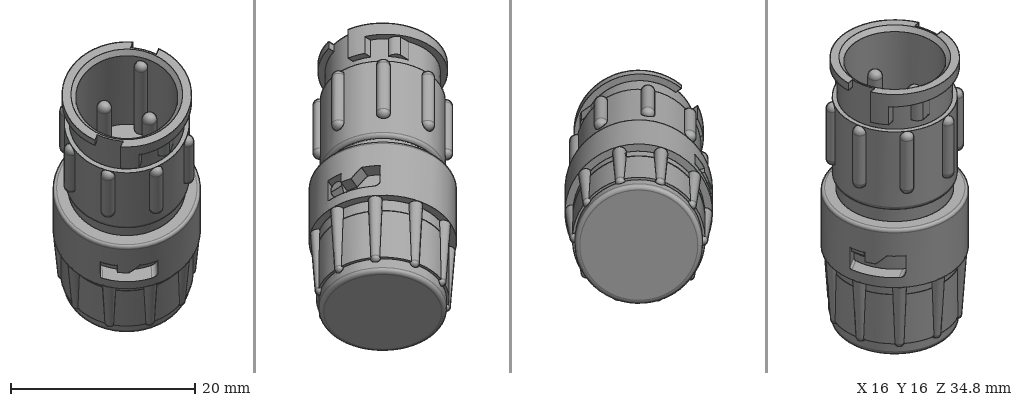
import cadquery as cq
import math


ring_radius = 8.0
nut_lip_radius = 6.92
nut_skirt_radius = 7.2
nut_collar_radius = 7.15
neck_radius = 6.4
sleeve_radius = 6.78
tube_radius = 6.25
rim_radius = 7.03

total_height = 34.78
nut_lip_top = 1.77
nut_skirt_top = 8.3
ring_bottom = 9.8
ring_top = 17.45
sleeve_bottom = 19.1
sleeve_top = 29.63
nut_edge_fillet = 0.52
ring_edge_fillet = 0.38
sleeve_edge_fillet = 0.52

nut_turn = 20.0

overlap = 0.35

nut_rib_count = 10
nut_rib_bottom = 1.88
nut_rib_top_radius = 0.75
nut_rib_bottom_radius = 0.55
nut_rib_top_offset = 7.25
nut_rib_bottom_offset = 6.92

sleeve_rib_count = 8
rib_radius = 0.75
rib_bottom = 22.33
rib_top = 28.87
rib_offset = 6.8

window_left = -3.2
window_right = 3.05
window_bottom = 11.13
window_step = 12.75
window_top = 13.98
window_leg_width = 1.8
window_ramp_start = -0.15
window_left_fillet = 0.25
window_right_fillet = 0.7
peg_radius = 0.87
peg_level = 13.08
peg_end = 7.25
peg_chamfer_top = 12.97

rim_gap_half_width = 1.45
ramp_high = 33.8
ramp_low = 33.1
key_bottom = 30.75
key_end = 3.35
stop_x = 5.9
stop_flat_y = 3.3
stop_nose = (-4.75, 4.0)
stop_round_mid = (-5.45, 3.85)

bore_radius = 5.53
bore_mouth_radius = 6.05
bore_chamfer_height = 0.52
bore_floor = 21.55
pin_spacing = 5.15
pin_radius = 0.8
pin_top = 32.03
post_radius = 0.73
post_offset = 5.15
post_top = 33.77
mark_radius = 0.2
mark_y = 1.77
mark_depth = 0.17


def disc(radius, bottom, top):
    return cq.Workplane("XY").workplane(offset=bottom).circle(radius).extrude(top - bottom)


def ball(radius, x, y, z):
    return cq.Workplane("XY").sphere(radius).translate((x, y, z))


def around(shape, angles):
    """Union of copies of a shape turned about Z."""
    copies = cq.Workplane("XY")
    for angle in angles:
        copies = copies.add(shape.rotate((0, 0, 0), (0, 0, 1), angle))
    return copies.combine()


def domed_post(radius, x, y, bottom, top):
    """Round post whose top ends in a hemisphere."""
    straight_top = top - radius
    return disc(radius, bottom, straight_top).translate((x, y, 0)).union(ball(radius, x, y, straight_top))


def body():
    nut_lip = disc(nut_lip_radius, 0, nut_lip_top).faces("<Z").edges().fillet(nut_edge_fillet)
    nut_skirt = disc(nut_skirt_radius, nut_lip_top, nut_skirt_top)
    nut_collar = disc(nut_collar_radius, nut_skirt_top, ring_bottom)
    ring = disc(ring_radius, ring_bottom, ring_top).faces(">Z").edges().fillet(ring_edge_fillet)
    neck = disc(neck_radius, ring_top, sleeve_bottom)
    sleeve = disc(sleeve_radius, sleeve_bottom, sleeve_top).faces("<Z").edges().fillet(sleeve_edge_fillet)
    core = disc(tube_radius, ring_top, total_height)
    return nut_lip.union(nut_skirt).union(nut_collar).union(ring).union(neck).union(sleeve).union(core)


def nut_ribs():
    """Tapered ribs that lean outward toward the ring and end in a rounded tip at the bottom."""
    height = ring_bottom - nut_rib_bottom
    lean = math.degrees(math.atan2(nut_rib_top_offset - nut_rib_bottom_offset, height))
    tip = nut_rib_bottom_radius
    rib = (
        cq.Workplane("XZ")
        .moveTo(0, -tip)
        .threePointArc((tip * math.sin(math.pi / 4), -tip * math.cos(math.pi / 4)), (tip, 0))
        .lineTo(nut_rib_top_radius, height)
        .lineTo(0, height)
        .close()
        .revolve(360, (0, 0, 0), (0, 1, 0))
        .rotate((0, 0, 0), (1, 0, 0), lean)
        .translate((0, -nut_rib_bottom_offset, nut_rib_bottom))
    )
    pitch = 360 / nut_rib_count
    return around(rib, [nut_turn + (i + 0.5) * pitch for i in range(nut_rib_count)])


def sleeve_ribs():
    rib = domed_post(rib_radius, 0, -rib_offset, rib_bottom, rib_top + rib_radius)
    rib = rib.union(ball(rib_radius, 0, -rib_offset, rib_bottom))
    pitch = 360 / sleeve_rib_count
    return around(rib, [i * pitch for i in range(sleeve_rib_count)])


def bayonet_windows():
    """J-shaped windows cut straight inward as far as the neck."""
    leg_right = window_left + window_leg_width
    ramp_end = window_ramp_start + window_top - window_step
    window = (
        cq.Workplane("XZ")
        .moveTo(window_left, window_bottom)
        .lineTo(window_right, window_bottom)
        .lineTo(window_right, window_top)
        .lineTo(ramp_end, window_top)
        .lineTo(window_ramp_start, window_step)
        .lineTo(leg_right, window_step)
        .lineTo(leg_right, window_top)
        .lineTo(window_left, window_top)
        .close()
        .extrude(ring_radius + overlap)
    )
    window = window.faces("<X").edges("<Z").fillet(window_left_fillet)
    window = window.faces(">X").edges("<Z").fillet(window_right_fillet)
    window = window.cut(disc(neck_radius, ring_bottom, ring_top))
    return around(window, [nut_turn, nut_turn + 180])


def pegs():
    """Radial round pegs with a 45 degree flat under the outer end."""
    peg = cq.Workplane("XZ").center(0, peg_level).circle(peg_radius).extrude(peg_end)
    flat_height = peg_chamfer_top - (peg_level - peg_radius)
    wedge = (
        cq.Workplane("YZ")
        .moveTo(-peg_end, peg_chamfer_top)
        .lineTo(-peg_end, peg_chamfer_top - flat_height)
        .lineTo(-peg_end + flat_height, peg_chamfer_top - flat_height)
        .close()
        .extrude(peg_radius, both=True)
    )
    return around(peg.cut(wedge), [0, 180])


def half_rim():
    """The -X half of the bayonet rim: helical underside, key at its low end, and rounded stop."""
    span = total_height - key_bottom
    gap_angle = math.degrees(math.asin(rim_gap_half_width / rim_radius))
    key_angle = math.degrees(math.asin(key_end / rim_radius))
    ramp_turn = 180 - gap_angle - key_angle
    pitch = (ramp_high - ramp_low) * 360 / ramp_turn

    left_side = (
        cq.Workplane("XY")
        .box(rim_radius, 2 * rim_radius, span, centered=(False, True, False))
        .translate((-rim_radius - rim_gap_half_width, 0, key_bottom))
    )
    blank = disc(rim_radius, key_bottom, total_height).intersect(left_side)

    inner = tube_radius - overlap
    outer = rim_radius + overlap
    helix = cq.Wire.makeHelix(pitch, ramp_high - ramp_low, rim_radius)
    section = cq.Workplane("XZ").moveTo(inner, 0).rect(outer - inner, span, centered=False)
    under = (
        section.sweep(cq.Workplane(helix), isFrenet=True)
        .rotate((0, 0, 0), (1, 0, 0), 180)
        .rotate((0, 0, 0), (0, 0, 1), -90 - gap_angle)
        .translate((0, 0, ramp_high))
    )
    rim = blank.cut(under)

    key = blank.intersect(
        cq.Workplane("XY")
        .box(key_end - rim_gap_half_width, rim_radius, span, centered=False)
        .translate((-key_end, 0, key_bottom))
    )
    stop = (
        cq.Workplane("XY")
        .workplane(offset=key_bottom)
        .lineTo(-stop_x, 0)
        .lineTo(-stop_x, stop_flat_y)
        .threePointArc(stop_round_mid, stop_nose)
        .close()
        .extrude(ramp_low + overlap - key_bottom)
    )
    return rim.union(key).union(stop)


def socket():
    bore = disc(bore_radius, bore_floor, total_height)
    mouth = (
        cq.Workplane("XY")
        .workplane(offset=total_height - bore_chamfer_height)
        .circle(bore_radius)
        .workplane(offset=bore_chamfer_height)
        .circle(bore_mouth_radius)
        .loft()
    )
    mark = disc(mark_radius, bore_floor - mark_depth, bore_floor).translate((-pin_spacing / 2, mark_y, 0))
    return bore.union(mouth).union(mark)


def contacts():
    root = bore_floor - overlap
    pins = cq.Workplane("XY")
    for x in (-pin_spacing / 2, pin_spacing / 2):
        pins = pins.add(domed_post(pin_radius, x, 0, root, pin_top))
    return pins.combine().union(domed_post(post_radius, 0, post_offset, root, post_top))


result = body().union(nut_ribs()).cut(bayonet_windows()).union(pegs())
result = result.union(sleeve_ribs()).union(around(half_rim(), [0, 180]))
result = result.cut(socket()).union(contacts())